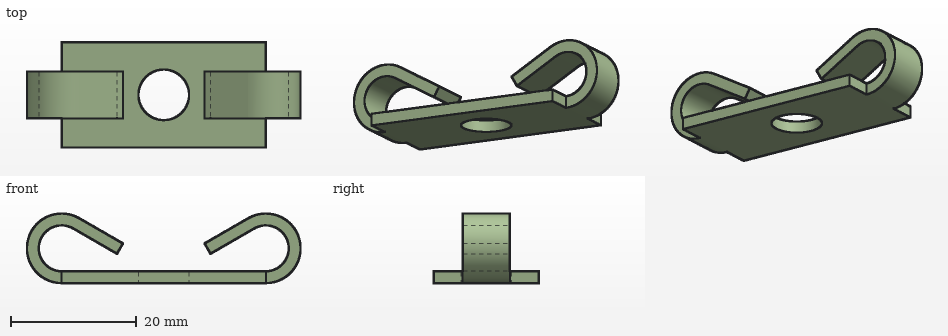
import cadquery as cq
import math

overall_length = 43.6
plate_width = 16.8
thickness = 1.9
overall_height = 11.1
curl_width = 7.5
lip_length = 8.05
lip_slope = math.radians(30)
hole_diameter = 8.02

curl_outer_radius = overall_height / 2
plate_length = overall_length - 2 * curl_outer_radius
curl_inner_radius = curl_outer_radius - thickness
curl_center_x = plate_length / 2
curl_center_z = curl_outer_radius


def curl_point(radius, angle):
    """Point around the right-hand curl axis, with the angle measured from +X."""
    return (
        curl_center_x + radius * math.cos(angle),
        curl_center_z + radius * math.sin(angle),
    )


def lip_tip(start):
    """Free end of a lip edge that runs inward and down from its tangent point."""
    return (
        start[0] - lip_length * math.cos(lip_slope),
        start[1] - lip_length * math.sin(lip_slope),
    )


def make_plate():
    """Flat base resting on Z = 0, with a round hole through its middle."""
    return (
        cq.Workplane("XY")
        .rect(plate_length, plate_width)
        .circle(hole_diameter / 2)
        .extrude(thickness)
    )


def make_curl():
    """Right-hand strip that rolls up from the plate and ends in a straight lip."""
    bottom_angle = -math.pi / 2
    lip_angle = math.pi / 2 + lip_slope
    middle_angle = (bottom_angle + lip_angle) / 2
    outer_tangent = curl_point(curl_outer_radius, lip_angle)
    inner_tangent = curl_point(curl_inner_radius, lip_angle)
    return (
        cq.Workplane("XZ")
        .moveTo(*curl_point(curl_outer_radius, bottom_angle))
        .threePointArc(curl_point(curl_outer_radius, middle_angle), outer_tangent)
        .lineTo(*lip_tip(outer_tangent))
        .lineTo(*lip_tip(inner_tangent))
        .lineTo(*inner_tangent)
        .threePointArc(
            curl_point(curl_inner_radius, middle_angle),
            curl_point(curl_inner_radius, bottom_angle),
        )
        .close()
        .extrude(curl_width / 2, both=True)
    )


right_curl = make_curl()
left_curl = right_curl.mirror("YZ")
result = make_plate().union(right_curl).union(left_curl)